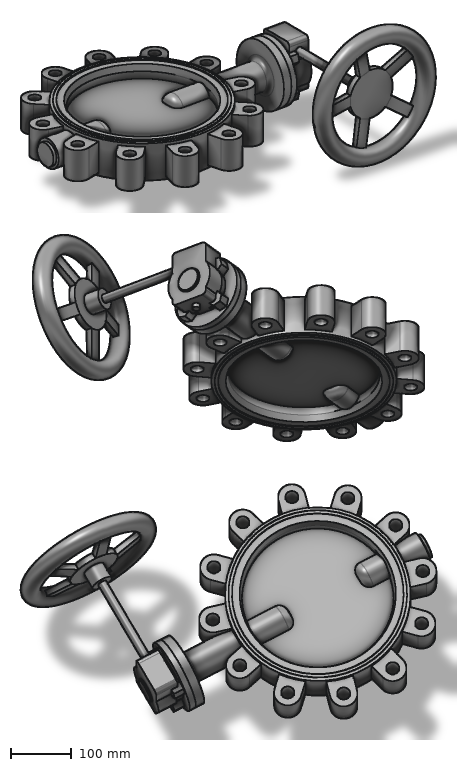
import cadquery as cq
import math


RING_RADIUS = 152.0
RING_HALF_HEIGHT = 34.5
BEAD_OUTER_RADIUS = 146.5
BEAD_INNER_RADIUS = 141.0
BEAD_HALF_HEIGHT = 36.5
MOUTH_RADIUS = 128.5
BORE_RADIUS = 124.5
MOUTH_DEPTH = 12.0

LUG_COUNT = 12
LUG_CIRCLE_RADIUS = 177.5
LUG_RADIUS = 22.5
LUG_HALF_HEIGHT = 29.0
LUG_HOLE_RADIUS = 11.0

DISC_HALF_THICKNESS = 9.0
BOSS_RADIUS = 25.0
BOSS_END_FILLET = 15.0
UPPER_BOSS_END = 52.0
LOWER_BOSS_END = 76.0

NECK_RADIUS = 27.0
LOWER_NECK_END = 196.0
END_CAP_RADIUS = 21.5
END_CAP_LENGTH = 6.0

FLANGE_RADIUS = 63.0
FLANGE_START = 247.0
FLANGE_END = 263.0
NECK_FLARE_RADIUS = 9.0

PLATE_THICKNESS = 11.5
PLATE_END = FLANGE_END + PLATE_THICKNESS
BASE_RADIUS = 39.5
CASE_RADIUS = 42.0
CASE_START = 287.5
CASE_END = 321.5
CASE_BOTTOM = -38.0
BOX_HALF_WIDTH = 34.0
BOX_START = 281.0
BOX_TOP = 63.0
BOX_EDGE_ROUND = 7.5
COVER_RADIUS = 21.5
COVER_HEIGHT = 3.0
COVER_CHAMFER = 2.0

BOLT_OFFSET = 32.0
BOLT_CORNER_RADIUS = 14.0
BOLT_ANGLE = 45
BOLT_HEIGHT = 19.0

STOP_SCREW_RADIUS = 6.0
STOP_SCREW_BOTTOM = -45.0

SHAFT_RADIUS = 7.5
HUB_START = 185.5
HUB_RADIUS = 18.0
WEB_START = 214.0
WEB_RADIUS = 44.5
WEB_THICKNESS = 11.5
WEB_END = WEB_START + WEB_THICKNESS
SPOKE_COUNT = 5
SPOKE_WIDTH = 21.5
SPOKE_BEND_RADIUS = 44.0
SPOKE_THICKNESS = 9.5
RIM_CENTRE_X = 233.0
RIM_SECTION_RADIUS = 16.5
WHEEL_DIAMETER = 250.0
RIM_RADIUS = WHEEL_DIAMETER / 2 - RIM_SECTION_RADIUS

OVERALL_LENGTH = 629.0
SHAFT_Y = OVERALL_LENGTH - LOWER_NECK_END - END_CAP_LENGTH - WHEEL_DIAMETER / 2
SHAFT_Z = 41.0


def cylinder_z(radius, half_height):
    return cq.Workplane("XY").circle(radius).extrude(half_height, both=True)


def cylinder_y(radius, start, end):
    """Cylinder on the stem axis between two Y positions."""
    return cq.Workplane("XZ", origin=(0, start, 0)).circle(radius).extrude(start - end)


def cylinder_x(radius, start, end):
    """Cylinder on the input shaft axis between two X positions."""
    plane = cq.Workplane("YZ", origin=(start, SHAFT_Y, SHAFT_Z))
    return plane.circle(radius).extrude(end - start)


def lug(angle):
    blank = (
        cq.Workplane("XY")
        .rect(LUG_CIRCLE_RADIUS, 2 * LUG_RADIUS)
        .extrude(LUG_HALF_HEIGHT, both=True)
        .translate((LUG_CIRCLE_RADIUS / 2, 0, 0))
    )
    tip = cylinder_z(LUG_RADIUS, LUG_HALF_HEIGHT).translate((LUG_CIRCLE_RADIUS, 0, 0))
    hole = cylinder_z(LUG_HOLE_RADIUS, LUG_HALF_HEIGHT).translate((LUG_CIRCLE_RADIUS, 0, 0))
    return blank.union(tip).cut(hole).rotate((0, 0, 0), (0, 0, 1), angle)


def sealing_beads():
    """Low raised ring on each face of the housing."""
    outside = cylinder_z(BEAD_OUTER_RADIUS, BEAD_HALF_HEIGHT)
    return outside.cut(cylinder_z(BEAD_INNER_RADIUS, BEAD_HALF_HEIGHT))


def neck():
    lower = cylinder_y(NECK_RADIUS, -LOWER_NECK_END, 0)
    cap = cylinder_y(END_CAP_RADIUS, -LOWER_NECK_END - END_CAP_LENGTH, -LOWER_NECK_END)
    flare_start = FLANGE_START - NECK_FLARE_RADIUS
    flare_outer = NECK_RADIUS + NECK_FLARE_RADIUS
    flare_middle = (
        flare_outer - NECK_FLARE_RADIUS * math.cos(math.pi / 4),
        flare_start + NECK_FLARE_RADIUS * math.sin(math.pi / 4),
    )
    upper = (
        cq.Workplane("XY")
        .lineTo(NECK_RADIUS, 0)
        .lineTo(NECK_RADIUS, flare_start)
        .threePointArc(flare_middle, (flare_outer, FLANGE_START))
        .lineTo(FLANGE_RADIUS, FLANGE_START)
        .lineTo(FLANGE_RADIUS, FLANGE_END)
        .lineTo(0, FLANGE_END)
        .close()
        .revolve(360, (0, 0, 0), (0, 1, 0))
    )
    return upper.union(lower).union(cap)


def bore():
    """Flow passage with a slightly tapered mouth at each face."""
    mouth_bottom = RING_HALF_HEIGHT - MOUTH_DEPTH
    return (
        cq.Workplane("XZ")
        .moveTo(0, -RING_HALF_HEIGHT)
        .lineTo(MOUTH_RADIUS, -RING_HALF_HEIGHT)
        .lineTo(BORE_RADIUS, -mouth_bottom)
        .lineTo(BORE_RADIUS, mouth_bottom)
        .lineTo(MOUTH_RADIUS, RING_HALF_HEIGHT)
        .lineTo(0, RING_HALF_HEIGHT)
        .close()
        .revolve(360, (0, 0, 0), (0, 1, 0))
    )


def closing_disc():
    disc = cylinder_z(BORE_RADIUS, DISC_HALF_THICKNESS)
    upper_boss = cylinder_y(BOSS_RADIUS, UPPER_BOSS_END, RING_RADIUS)
    upper_boss = upper_boss.faces("<Y").edges().fillet(BOSS_END_FILLET)
    lower_boss = cylinder_y(BOSS_RADIUS, -RING_RADIUS, -LOWER_BOSS_END)
    lower_boss = lower_boss.faces(">Y").edges().fillet(BOSS_END_FILLET)
    return disc.union(upper_boss).union(lower_boss)


def make_valve():
    body = cylinder_z(RING_RADIUS, RING_HALF_HEIGHT)
    body = body.union(sealing_beads()).union(neck())
    for index in range(LUG_COUNT):
        body = body.union(lug((index + 0.5) * 360 / LUG_COUNT))
    return body.cut(bore()).union(closing_disc())


def gear_case():
    plate = cylinder_y(FLANGE_RADIUS, FLANGE_END, PLATE_END)
    base = cylinder_y(BASE_RADIUS, PLATE_END, CASE_START)
    drum = cylinder_y(CASE_RADIUS, CASE_START, CASE_END)
    box = (
        cq.Workplane("XY")
        .box(2 * BOX_HALF_WIDTH, CASE_END - BOX_START, BOX_TOP - CASE_BOTTOM, centered=(True, False, False))
        .translate((0, BOX_START, CASE_BOTTOM))
        .edges("|Y")
        .fillet(BOX_EDGE_ROUND)
    )
    below = (
        cq.Workplane("XY")
        .box(2 * CASE_RADIUS, CASE_END, CASE_RADIUS, centered=(True, False, False))
        .translate((0, 0, CASE_BOTTOM - CASE_RADIUS))
    )
    cover = cylinder_y(COVER_RADIUS, CASE_END, CASE_END + COVER_HEIGHT).faces(">Y").chamfer(COVER_CHAMFER)
    case = base.union(drum).cut(below).union(box)
    return case.union(plate).union(cover)


def bolt_head(x_side, z_side):
    """Hexagonal head with one corner pointing away from the stem axis."""
    head = (
        cq.Workplane("XZ", origin=(0, PLATE_END, 0))
        .polygon(6, 2 * BOLT_CORNER_RADIUS)
        .extrude(-BOLT_HEIGHT)
        .rotate((0, 0, 0), (0, 1, 0), -BOLT_ANGLE * x_side * z_side)
    )
    return head.translate((x_side * BOLT_OFFSET, 0, z_side * BOLT_OFFSET))


def stop_screw():
    middle = (BOX_START + CASE_END) / 2
    return (
        cq.Workplane("XY", origin=(0, middle, STOP_SCREW_BOTTOM))
        .circle(STOP_SCREW_RADIUS)
        .extrude(-STOP_SCREW_BOTTOM)
    )


def spoke(angle):
    """Spoke flush with the web, then sloping outwards to the middle of the rim section."""
    rim_start = RIM_CENTRE_X - SPOKE_THICKNESS / 2
    rim_end = RIM_CENTRE_X + SPOKE_THICKNESS / 2
    bar = (
        cq.Workplane("XY", origin=(0, SHAFT_Y, SHAFT_Z))
        .moveTo(WEB_START, 0)
        .lineTo(WEB_START, -SPOKE_BEND_RADIUS)
        .lineTo(rim_start, -RIM_RADIUS)
        .lineTo(rim_end, -RIM_RADIUS)
        .lineTo(WEB_END, -SPOKE_BEND_RADIUS)
        .lineTo(WEB_END, 0)
        .close()
        .extrude(SPOKE_WIDTH / 2, both=True)
    )
    return bar.rotate((0, SHAFT_Y, SHAFT_Z), (1, SHAFT_Y, SHAFT_Z), angle)


def handwheel():
    rim = cq.Workplane(
        cq.Solid.makeTorus(
            RIM_RADIUS, RIM_SECTION_RADIUS, cq.Vector(RIM_CENTRE_X, SHAFT_Y, SHAFT_Z), cq.Vector(1, 0, 0)
        )
    )
    wheel = cylinder_x(HUB_RADIUS, HUB_START, WEB_START).union(cylinder_x(WEB_RADIUS, WEB_START, WEB_END))
    for index in range(SPOKE_COUNT):
        wheel = wheel.union(spoke(index * 360 / SPOKE_COUNT))
    return wheel.union(rim)


def make_operator():
    operator = gear_case().union(stop_screw())
    for x_side in (-1, 1):
        for z_side in (-1, 1):
            operator = operator.union(bolt_head(x_side, z_side))
    return operator.union(cylinder_x(SHAFT_RADIUS, 0, HUB_START)).union(handwheel())


valve = make_valve()
gear_operator = make_operator()
result = cq.Compound.makeCompound([valve.val(), gear_operator.val()])